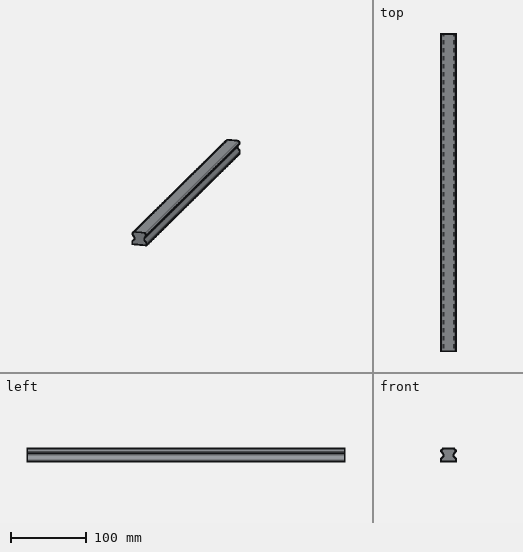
import cadquery as cq

rail_width = 20.0
rail_length = 420.0
rail_height = 17.5

half_width = rail_width / 2
waist_half_width = 6.6
lip_half_width = 7.9
top_half_width = 7.7

foot_side_top = 3.9
waist_bottom = foot_side_top + half_width - waist_half_width
waist_top = 9.3
lip_height = 11.1
head_side_bottom = 13.8
head_side_top = 15.3

lower_groove_middle = (8.65, 12.75)
upper_groove_middle = (8.5, 16.1)

foot_radius = 1.3
waist_radius = 0.8
head_radius = 0.7


def half_section():
    """Half of the section on the +X side, closed along the middle plane."""
    return (
        cq.Workplane("XZ")
        .moveTo(0, 0)
        .lineTo(half_width, 0)
        .lineTo(half_width, foot_side_top)
        .lineTo(waist_half_width, waist_bottom)
        .lineTo(waist_half_width, waist_top)
        .lineTo(lip_half_width, lip_height)
        .threePointArc(lower_groove_middle, (half_width, head_side_bottom))
        .lineTo(half_width, head_side_top)
        .threePointArc(upper_groove_middle, (top_half_width, rail_height))
        .lineTo(0, rail_height)
        .close()
    )


def round_corners(half):
    """Round the lengthwise edges of the foot, the waist and the head."""
    roundings = [
        (half_width, foot_side_top, foot_radius),
        (waist_half_width, waist_bottom, waist_radius),
        (waist_half_width, waist_top, waist_radius),
        (half_width, head_side_bottom, head_radius),
        (half_width, head_side_top, head_radius),
        (top_half_width, rail_height, head_radius),
    ]
    for x, z, radius in roundings:
        edge = cq.selectors.NearestToPointSelector((x, 0, z))
        half = half.edges(edge).fillet(radius)
    return half


def rail():
    """Rail with a symmetric section, running along Y and centred on the origin in X and Y."""
    half = round_corners(half_section().extrude(rail_length / 2, both=True))
    return half.union(half.mirror("YZ")).clean()


result = rail()